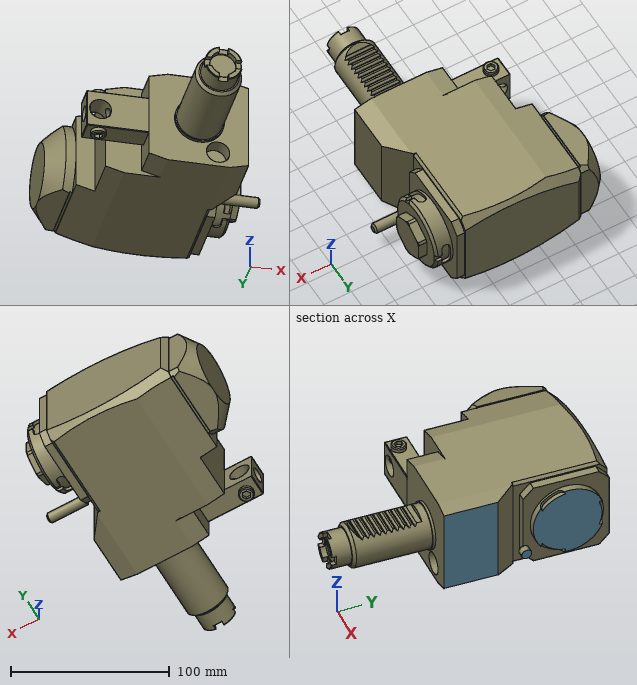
import cadquery as cq
import math

half_height = 32.0
taper_angle = 15.0

housing_top = 115.0
upper_left = -67.6
upper_right = 19.1
upper_bottom = 51.0
middle_left = -55.6
middle_bottom = 21.0
lower_left = -32.3
lower_right = 32.0
shoulder_y = 33.5
left_taper_start = -43.4
lower_taper_inset = 12.0
right_edge_chamfer = 1.8
corner_chamfer = 3.6

crown_center_x = -14.0
crown_radius = 143.0
crown_edge_drop = 3.0

spindle_y = 85.0

cap_face_x = -85.0
cap_face_radius = 21.0
cap_radius = 33.7
cap_cone_length = 11.0
cap_flat_y = 111.0
cap_seat_x = -69.2
cap_seat_step = 0.8

flange_half = 29.3
flange_corner = 7.0
flange_end_x = 24.8
collar_radius = 24.5
collar_end_x = 37.4
collar_chamfer = 1.8
collar_slot_count = 3
collar_slot_x = 29.5
collar_slot_width = 6.0
collar_slot_length = 18.0
collar_slot_depth = 2.0
collar_channel_width = 4.5
hex_across_flats = 27.0
hex_corner_radius = 15.0
hex_end_x = 43.5
hex_chamfer = 0.5
pin_y = 56.3
pin_z = -18.7
pin_radius = 3.5
pin_end_x = 51.88
pin_chamfer = 1.2

shank_radius = 15.0
shank_end_y = -55.4
shank_chamfer = 2.0
rim_radius = 15.9
rim_width = 1.8
tip_radius = 12.0
tip_end_y = -69.0
tip_chamfer = 0.5
tip_slot_width = 6.2
tip_slot_depth = 3.2
tip_recess_radius = 8.5
tip_recess_depth = 4.0

tooth_top_z = 11.8
tooth_depth = 1.4
tooth_pitch = 4.0
valley_count = 10
first_valley_y = -11.75
rack_start_y = -6.8
rack_ramp_y = -49.5

block_left = -72.4
block_y_min = 0.7
block_y_max = 15.8
block_half_height = 12.9
block_chamfer = 0.5
block_bore_x = -63.5
block_bore_radius = 7.0
block_side_radius = 5.0
block_side_floor_x = -55.0
block_feed_radius = 1.7
block_feed_end_x = -45.0
screw_y = 7.0
screw_radius = 5.0
screw_height = 3.1
screw_chamfer = 0.7
socket_size = 5.0
socket_depth = 2.5

face_hole_x = 12.2
face_hole_z = -21.7
face_hole_radius = 7.5
face_hole_depth = 10.0

taper_slope = math.tan(math.radians(taper_angle))


def x_cylinder(radius, x_start, x_end, y, z=0.0):
    """Cylinder parallel to X."""
    plane = cq.Plane(origin=(x_start, y, z), xDir=(0, 1, 0), normal=(1, 0, 0))
    return cq.Workplane(plane).circle(radius).extrude(x_end - x_start)


def y_cylinder(radius, y_start, y_end, x=0.0, z=0.0):
    """Cylinder parallel to Y."""
    plane = cq.Plane(origin=(x, y_start, z), xDir=(1, 0, 0), normal=(0, 1, 0))
    return cq.Workplane(plane).circle(radius).extrude(y_end - y_start)


def y_prism(points, y_start, y_end):
    """Prism parallel to Y from an outline of (x, z) points."""
    plane = cq.Plane(origin=(0, y_end, 0), xDir=(1, 0, 0), normal=(0, -1, 0))
    return cq.Workplane(plane).polyline(points).close().extrude(y_end - y_start)


def mirrored_outline(upper_points):
    """Closed (x, z) outline from its upper half, left to right."""
    return upper_points + [(x, -z) for x, z in reversed(upper_points)]


def left_taper_height(x):
    """Half height of the left taper planes at x."""
    return half_height - (left_taper_start - x) * taper_slope


def upper_section():
    outline = mirrored_outline([
        (upper_left, left_taper_height(upper_left)),
        (left_taper_start, half_height),
        (upper_right - right_edge_chamfer, half_height),
        (upper_right, half_height - right_edge_chamfer),
    ])
    section = y_prism(outline, upper_bottom, housing_top)
    section = section.edges("<X and >Y").chamfer(corner_chamfer)
    return section.intersect(crown_limit(1)).intersect(crown_limit(-1))


def crown_limit(side):
    """Cone whose flank bevels the far end on the +Z (side 1) or -Z (side -1) edge."""
    axis_z = side * (half_height - crown_edge_drop - crown_radius)
    base_y = middle_bottom
    base_radius = crown_radius + housing_top - base_y
    cone = cq.Solid.makeCone(
        base_radius,
        crown_radius,
        housing_top - base_y,
        pnt=cq.Vector(crown_center_x, base_y, axis_z),
        dir=cq.Vector(0, 1, 0),
    )
    return cq.Workplane(obj=cone)


def middle_section():
    outline = mirrored_outline([
        (middle_left, left_taper_height(middle_left)),
        (left_taper_start, half_height),
        (upper_right, half_height),
    ])
    return y_prism(outline, middle_bottom, upper_bottom)


def lower_section():
    edge_height = half_height - lower_taper_inset * taper_slope
    outline = mirrored_outline([
        (lower_left, edge_height),
        (lower_left + lower_taper_inset, half_height),
        (lower_right - lower_taper_inset, half_height),
        (lower_right, edge_height),
    ])
    section = y_prism(outline, 0.0, upper_bottom)
    left_step = (
        cq.Workplane("XY")
        .polyline([
            (lower_left, middle_bottom),
            (0.0, middle_bottom),
            (0.0, upper_bottom),
            (lower_left, upper_bottom),
        ])
        .close()
        .extrude(half_height, both=True)
    )
    shoulder = (
        cq.Workplane("XY")
        .polyline([
            (upper_right, upper_bottom),
            (lower_right, upper_bottom),
            (lower_right, shoulder_y),
        ])
        .close()
        .extrude(half_height, both=True)
    )
    return section.cut(left_step).cut(shoulder)


def rear_cap():
    cone_end_x = cap_face_x + cap_cone_length
    blank = (
        cq.Workplane("XY")
        .polyline([
            (cap_face_x, spindle_y),
            (cap_face_x, spindle_y + cap_face_radius),
            (cone_end_x, spindle_y + cap_radius),
            (upper_left, spindle_y + cap_radius),
            (upper_left, spindle_y),
        ])
        .close()
        .revolve(360, (0, spindle_y, 0), (1, spindle_y, 0))
    )
    outline = mirrored_outline([
        (cap_face_x, left_taper_height(cap_face_x)),
        (cap_seat_x, left_taper_height(cap_seat_x)),
        (cap_seat_x, left_taper_height(cap_seat_x) - cap_seat_step),
        (upper_left, left_taper_height(upper_left) - cap_seat_step),
    ])
    return blank.intersect(y_prism(outline, spindle_y - cap_radius, cap_flat_y))


def nose_flange():
    length = flange_end_x - upper_right
    return (
        cq.Workplane("YZ", origin=(upper_right, spindle_y, 0))
        .rect(2 * flange_half, 2 * flange_half)
        .extrude(length)
        .edges("|X")
        .chamfer(flange_corner)
    )


def collar_slot():
    """Rounded slot in the +Y side of the collar, with a channel to the collar end.

    The floor is concentric with the collar.
    """
    plane = cq.Plane(origin=(collar_slot_x, spindle_y, 0), xDir=(0, 0, 1), normal=(0, 1, 0))
    slot = cq.Workplane(plane).slot2D(collar_slot_length, collar_slot_width).extrude(collar_radius)
    channel_length = collar_end_x - collar_slot_x
    channel = (
        cq.Workplane(plane)
        .center(0, channel_length / 2)
        .rect(collar_channel_width, channel_length)
        .extrude(collar_radius)
    )
    floor_radius = collar_radius - collar_slot_depth
    core = x_cylinder(floor_radius, flange_end_x, collar_end_x, spindle_y)
    return slot.union(channel).cut(core)


def collar():
    body = x_cylinder(collar_radius, flange_end_x, collar_end_x, spindle_y)
    body = body.faces(">X").chamfer(collar_chamfer)
    for index in range(collar_slot_count):
        angle = index * 360 / collar_slot_count
        body = body.cut(collar_slot().rotate((0, spindle_y, 0), (1, spindle_y, 0), angle))
    return body


def spindle_hexagon():
    corner_diameter = hex_across_flats / math.cos(math.radians(30))
    plane = cq.Plane(origin=(collar_end_x, spindle_y, 0), xDir=(0, 0, 1), normal=(1, 0, 0))
    prism = cq.Workplane(plane).polygon(6, corner_diameter).extrude(hex_end_x - collar_end_x)
    rounding = x_cylinder(hex_corner_radius, collar_end_x, hex_end_x, spindle_y)
    return prism.intersect(rounding.faces(">X").chamfer(hex_chamfer))


def stop_pin():
    pin = x_cylinder(pin_radius, flange_end_x, pin_end_x, pin_y, pin_z)
    return pin.faces(">X").chamfer(pin_chamfer)


def shank():
    body = y_cylinder(shank_radius, shank_end_y, 0.0).faces("<Y").chamfer(shank_chamfer)
    rim = y_cylinder(rim_radius, -rim_width, 0.0)
    tip = y_cylinder(tip_radius, tip_end_y, shank_end_y).faces("<Y").chamfer(tip_chamfer)
    recess = y_cylinder(tip_recess_radius, tip_end_y, tip_end_y + tip_recess_depth)
    tip = tip.cut(recess)
    slot_center_y = tip_end_y + tip_slot_depth / 2
    for width, height in ((tip_slot_width, 2 * tip_radius), (2 * tip_radius, tip_slot_width)):
        slot = cq.Workplane("XY").box(width, tip_slot_depth, height)
        tip = tip.cut(slot.translate((0, slot_center_y, 0)))
    return body.cut(rack_cutter()).union(rim).union(tip)


def rack_cutter():
    """Flat with 90 degree valleys and a 45 degree run-out, extruded across the shank."""
    points = [(rack_start_y, shank_radius), (rack_start_y, tooth_top_z)]
    for index in range(valley_count):
        valley_y = first_valley_y - index * tooth_pitch
        points.append((valley_y + tooth_depth, tooth_top_z))
        points.append((valley_y, tooth_top_z - tooth_depth))
        points.append((valley_y - tooth_depth, tooth_top_z))
    points.append((rack_ramp_y, tooth_top_z))
    points.append((rack_ramp_y - (shank_radius - tooth_top_z), shank_radius))
    return cq.Workplane("YZ").polyline(points).close().extrude(shank_radius, both=True)


def clamp_screw():
    """Screw head with hexagon socket on the +Z side of the coolant block."""
    head = (
        cq.Workplane("XY", origin=(block_bore_x, screw_y, block_half_height))
        .circle(screw_radius)
        .extrude(screw_height)
        .faces(">Z")
        .chamfer(screw_chamfer)
    )
    corner_diameter = socket_size / math.cos(math.radians(30))
    return head.faces(">Z").workplane().polygon(6, corner_diameter).cutBlind(-socket_depth)


def coolant_block():
    depth = block_y_max - block_y_min
    center_y = (block_y_min + block_y_max) / 2
    block = (
        cq.Workplane("XY")
        .box(lower_left - block_left, depth, 2 * block_half_height)
        .translate(((lower_left + block_left) / 2, center_y, 0))
    )
    block = block.edges("(<X and |Y) or (<Y and (not >X))").chamfer(block_chamfer)
    block = block.cut(y_cylinder(block_bore_radius, block_y_min, block_y_max, block_bore_x))
    block = block.cut(x_cylinder(block_side_radius, block_left, block_side_floor_x, center_y))
    block = block.cut(x_cylinder(block_feed_radius, block_side_floor_x, block_feed_end_x, center_y))
    screw = clamp_screw()
    return block.union(screw).union(screw.mirror("XY"))


result = upper_section().union(middle_section()).union(lower_section())
for feature in (
    rear_cap(),
    nose_flange(),
    collar(),
    spindle_hexagon(),
    stop_pin(),
    shank(),
    coolant_block(),
):
    result = result.union(feature)
result = result.cut(y_cylinder(face_hole_radius, 0.0, face_hole_depth, face_hole_x, face_hole_z))